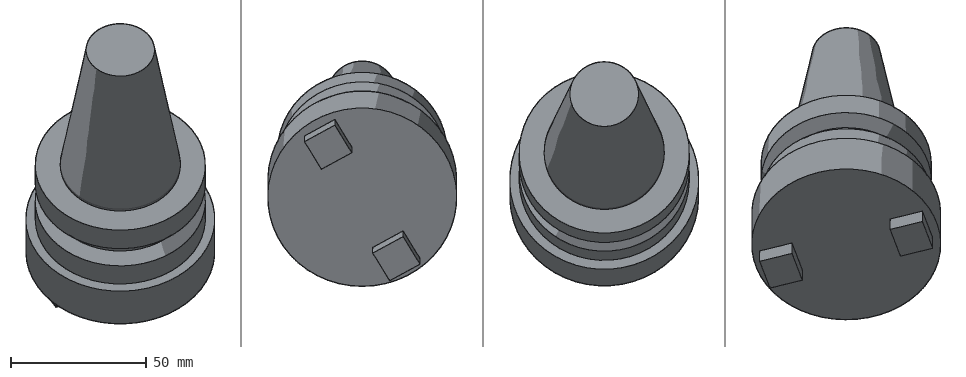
import cadquery as cq

total_height = 122.6
key_height = 6.4
body_height = 18.9
lower_flange_height = 10.4
groove_chamfer_height = 2.6
groove_floor_height = 4.8
upper_flange_height = 10.7
collar_height = 1.0

body_diameter = 70.0
flange_diameter = 63.0
groove_diameter = 53.0
taper_large_diameter = 44.5
taper_small_diameter = 25.4

key_width = 13.0
key_length = 12.5
key_outer_distance = flange_diameter / 2

body_top = key_height + body_height
groove_bottom = body_top + lower_flange_height
floor_bottom = groove_bottom + groove_chamfer_height
floor_top = floor_bottom + groove_floor_height
groove_top = floor_top + groove_chamfer_height
flange_top = groove_top + upper_flange_height
taper_bottom = flange_top + collar_height


def make_holder():
    """Revolve the body, V-grooved flange and tapered shank about Z."""
    body_radius = body_diameter / 2
    flange_radius = flange_diameter / 2
    groove_radius = groove_diameter / 2
    taper_large_radius = taper_large_diameter / 2
    profile = [
        (0, key_height),
        (body_radius, key_height),
        (body_radius, body_top),
        (flange_radius, body_top),
        (flange_radius, groove_bottom),
        (groove_radius, floor_bottom),
        (groove_radius, floor_top),
        (flange_radius, groove_top),
        (flange_radius, flange_top),
        (taper_large_radius, flange_top),
        (taper_large_radius, taper_bottom),
        (taper_small_diameter / 2, total_height),
        (0, total_height),
    ]
    return cq.Workplane("XZ").polyline(profile).close().revolve(360, (0, 0), (0, 1))


def make_keys():
    """Two rectangular drive keys, opposite each other along Y."""
    key_center = key_outer_distance - key_length / 2
    return (
        cq.Workplane("XY")
        .pushPoints([(0, -key_center), (0, key_center)])
        .rect(key_width, key_length)
        .extrude(key_height)
    )


result = make_holder().union(make_keys())